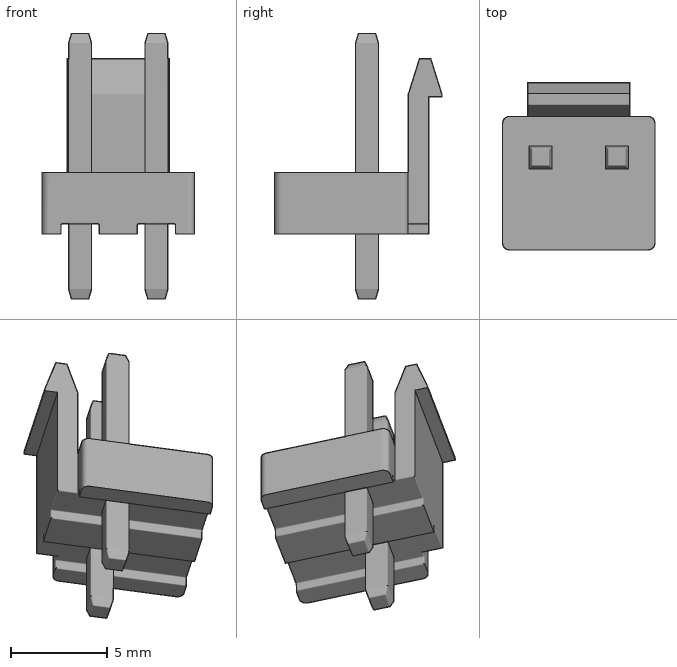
import cadquery as cq

pitch = 3.96
pin_count = 2
body_width = pitch * pin_count
body_depth = 6.94
body_height = 3.2
body_corner_radius = 0.37

latch_width = 5.3
latch_thickness = 1.08
latch_height = 9.11
latch_shoulder_height = 7.26
hook_overhang = 0.68
hook_underside_height = 7.12
latch_tip_front = 0.58
latch_tip_thickness = 0.6
latch_tip_radius = 0.03

pin_width = 1.2
pin_length = 13.8
pin_drop = 3.38
pin_setback = 2.14
pin_edge_radius = 0.062
tip_length = 0.51
tip_inset = 0.15

slot_width = 1.97
slot_height = 0.52
slot_edge_radius = 0.062

pin_positions = [(i - (pin_count - 1) / 2) * pitch for i in range(pin_count)]


def make_body():
    block = cq.Workplane("XY").box(body_width, body_depth, body_height, centered=(True, False, False))
    return block.translate((0, -body_depth, 0)).edges("|Z").fillet(body_corner_radius)


def make_latch():
    """Arm with a hook at the top pointing away from the housing."""
    hook_reach = latch_thickness + hook_overhang
    profile = [
        (0, 0),
        (0, latch_shoulder_height),
        (latch_tip_front, latch_height),
        (latch_tip_front + latch_tip_thickness, latch_height),
        (hook_reach, latch_shoulder_height),
        (hook_reach, hook_underside_height),
        (latch_thickness, hook_underside_height),
        (latch_thickness, 0),
    ]
    latch = cq.Workplane("YZ").polyline(profile).close().extrude(latch_width / 2, both=True)
    return latch.faces(">Z").edges("<Y").fillet(latch_tip_radius)


def cut_slots(part):
    """Cut through-slots along Y and round every edge around them."""
    slot_length = body_depth + latch_thickness
    centre_y = (latch_thickness - body_depth) / 2
    margin = 0.01
    for x in pin_positions:
        slot = cq.Workplane("XY").box(slot_width, slot_length, 2 * slot_height)
        part = part.cut(slot.translate((x, centre_y, 0)))
    for x in pin_positions:
        half_width = slot_width / 2 + margin
        half_length = slot_length / 2 + margin
        slot_zone = cq.selectors.BoxSelector(
            (x - half_width, centre_y - half_length, -margin),
            (x + half_width, centre_y + half_length, slot_height + margin),
            boundingbox=True,
        )
        part = part.edges(slot_zone).fillet(slot_edge_radius)
    return part


def make_pin(x):
    shaft_length = pin_length - 2 * tip_length
    tip_width = pin_width - 2 * tip_inset
    shaft = cq.Workplane("XY").rect(pin_width, pin_width).extrude(shaft_length)
    pin = shaft
    for end in (">Z", "<Z"):
        tip = (
            shaft.faces(end).workplane().rect(pin_width, pin_width)
            .workplane(offset=tip_length).rect(tip_width, tip_width).loft(combine=False)
        )
        pin = pin.union(tip)
    pin = pin.edges("not(#Z)").fillet(pin_edge_radius)
    pin = pin.faces(">Z or <Z").edges().fillet(pin_edge_radius)
    return pin.translate((x, -pin_setback, tip_length - pin_drop))


result = cut_slots(make_body().union(make_latch()))
for pin_x in pin_positions:
    result = result.union(make_pin(pin_x))